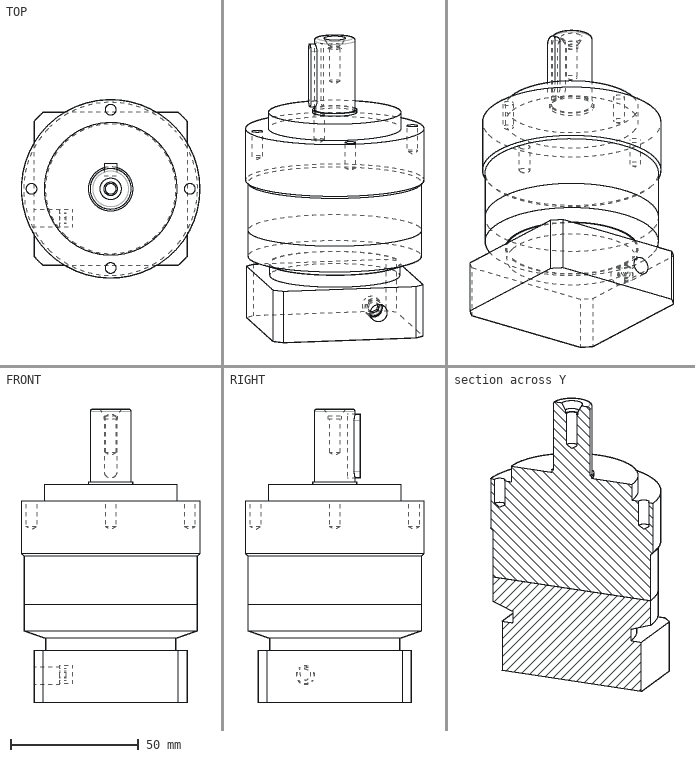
import cadquery as cq
import math


plate_top = 20.5
cone_bottom = 25.3
cone_top = 28.1
body_joint = 38.4
rim_bottom = 57.4
rim_top = 79.0
pilot_top = 85.5
shoulder_top = 86.5
shaft_top = 115.0

plate_side = 60.0
plate_corner_diameter = 80.0
neck_radius = 25.5
cone_small_radius = 26.0
body_radius = 34.0

rim_radius = 35.0
rim_chamfer = rim_radius - body_radius
pilot_radius = 26.0
shoulder_radius = 8.7
shaft_radius = 8.0
shaft_end_fillet = 1.0

mounting_hole_count = 4
mounting_circle_radius = 31.0
mounting_hole_diameter = 4.2
mounting_hole_depth = 10.0
drill_point_angle = 118.0

centre_mouth_diameter = 8.4
centre_recess_diameter = 5.3
centre_recess_depth = 4.0
centre_cone_angle = 60.0
centre_drill_diameter = 4.2
centre_drill_depth = 17.0

key_width = 5.0
key_height = 5.0
key_length = 25.0
key_top_y = 10.0
key_end_gap = 2.0

access_diameter = 6.8
access_depth = 10.0
access_y = -11.5
access_z = 10.5
screw_z = 11.0
screw_head_diameter = 7.0
screw_head_height = 5.0
screw_head_fillet = 0.5
socket_across_flats = 4.0
socket_depth = 2.5
socket_turn = 7.0


def cone_height(large_radius, small_radius, included_angle):
    """Height of a cone frustum with the given full apex angle."""
    return (large_radius - small_radius) / math.tan(math.radians(included_angle / 2))


def drill_tool(diameter, depth, top):
    """Vertical drill with a conical point; depth is measured to the full diameter."""
    radius = diameter / 2
    tip = top - depth - cone_height(radius, 0, drill_point_angle)
    outline = [(0, top), (radius, top), (radius, top - depth), (0, tip)]
    return cq.Workplane("XZ").polyline(outline).close().revolve(360, (0, 0), (0, 1))


def centre_hole_tool():
    """Conical mouth, short recess and tapping drill of the shaft centre hole."""
    mouth = centre_mouth_diameter / 2
    recess = centre_recess_diameter / 2
    cone_end = shaft_top - cone_height(mouth, recess, centre_cone_angle)
    recess_end = shaft_top - centre_recess_depth
    outline = [(0, shaft_top), (mouth, shaft_top), (recess, cone_end), (recess, recess_end), (0, recess_end)]
    countersink = cq.Workplane("XZ").polyline(outline).close().revolve(360, (0, 0), (0, 1))
    return countersink.union(drill_tool(centre_drill_diameter, centre_drill_depth, shaft_top))


def make_key():
    """Feather key with full-round ends."""
    key_middle_z = shaft_top - key_end_gap - key_length / 2
    return (
        cq.Workplane("XZ", origin=(0, key_top_y, key_middle_z))
        .slot2D(key_length, key_width, 90)
        .extrude(key_height)
    )


def make_housing(key):
    """Housing turned in one outline with the shaft, with its holes and the key seat."""
    outline = [
        (0, body_joint),
        (body_radius, body_joint),
        (body_radius, rim_bottom),
        (rim_radius, rim_bottom + rim_chamfer),
        (rim_radius, rim_top),
        (pilot_radius, rim_top),
        (pilot_radius, pilot_top),
        (shoulder_radius, pilot_top),
        (shoulder_radius, shoulder_top),
        (shaft_radius, shoulder_top),
        (shaft_radius, shaft_top),
        (0, shaft_top),
    ]
    housing = cq.Workplane("XZ").polyline(outline).close().revolve(360, (0, 0), (0, 1))
    housing = housing.faces(">Z").edges().fillet(shaft_end_fillet)
    housing = housing.cut(centre_hole_tool())
    for index in range(mounting_hole_count):
        angle = 360 / mounting_hole_count * index
        drill = drill_tool(mounting_hole_diameter, mounting_hole_depth, rim_top)
        drill = drill.translate((mounting_circle_radius, 0, 0))
        housing = housing.cut(drill.rotate((0, 0, 0), (0, 0, 1), angle))
    return housing.cut(key)


def plane_facing_outside(depth, height):
    """Plane parallel to the -X face of the plate, sunk by depth, with its normal toward +X."""
    return cq.Workplane("YZ", origin=(depth - plate_side / 2, access_y, height))


def screw_envelope():
    """Plain cylinder that the screw head fills before its edge and socket are cut."""
    return plane_facing_outside(access_depth, screw_z).circle(screw_head_diameter / 2).extrude(screw_head_height)


def make_screw():
    """Cap screw head with a rounded rim and a hexagon socket."""
    head = screw_envelope().faces("<X").edges().fillet(screw_head_fillet)
    socket_across_corners = socket_across_flats / math.cos(math.radians(30))
    socket = (
        plane_facing_outside(access_depth, screw_z)
        .transformed(rotate=(0, 0, 90 + socket_turn))
        .polygon(6, socket_across_corners)
        .extrude(socket_depth)
    )
    return head.cut(socket)


def make_adapter():
    """Square plate, neck and cone, with the access hole and the pocket for the screw."""
    plate = cq.Workplane("XY").rect(plate_side, plate_side).extrude(plate_top)
    corner_cylinder = cq.Workplane("XY").circle(plate_corner_diameter / 2).extrude(plate_top)
    plate = plate.intersect(corner_cylinder)
    outline = [
        (0, plate_top),
        (neck_radius, plate_top),
        (neck_radius, cone_bottom),
        (cone_small_radius, cone_bottom),
        (body_radius, cone_top),
        (body_radius, body_joint),
        (0, body_joint),
    ]
    turned_part = cq.Workplane("XZ").polyline(outline).close().revolve(360, (0, 0), (0, 1))
    access_hole = plane_facing_outside(0, access_z).circle(access_diameter / 2).extrude(access_depth)
    return plate.union(turned_part).cut(access_hole).cut(screw_envelope())


key = make_key()
housing = make_housing(key)
screw = make_screw()
adapter = make_adapter()

result = cq.Compound.makeCompound([adapter.val(), housing.val(), key.val(), screw.val()])